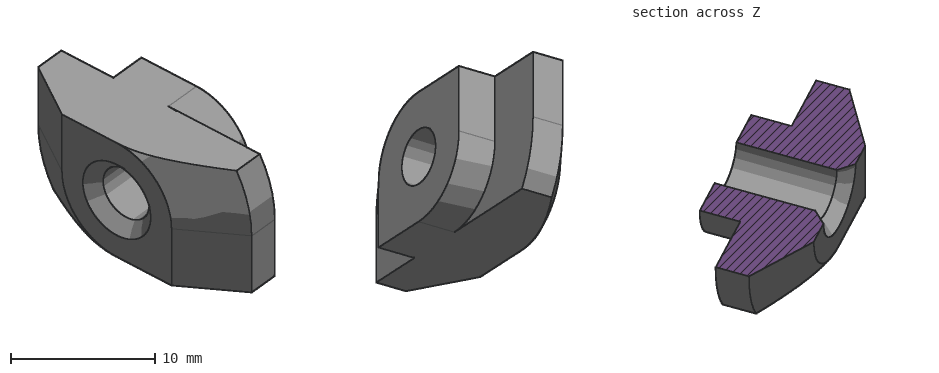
import cadquery as cq

length = 19.5
height = 10.0
bevel_depth = 3.0
flange_thickness = 2.5
stem_depth = 3.0
hole_diameter = 4.2
countersink_diameter = 6.2
countersink_angle = 90

half_length = length / 2
half_height = height / 2
stem_half_width = half_height
flange_back = bevel_depth + flange_thickness
total_depth = flange_back + stem_depth


def half_profile():
    """Half of the T-shaped section, from the hole axis outward."""
    return cq.Workplane("XY").polyline([
        (0, 0),
        (stem_half_width, 0),
        (half_length, bevel_depth),
        (half_length, flange_back),
        (stem_half_width, flange_back),
        (stem_half_width, total_depth),
        (0, total_depth),
    ]).close()


def straight_quadrant():
    """Lower quarter with flat sides and a planar bevel."""
    return half_profile().extrude(-half_height)


def round_quadrant():
    """Upper quarter turned about the hole axis and trimmed to the height."""
    turned = half_profile().revolve(360, (0, 0), (0, 1))
    quarter_block = cq.Workplane("XY").box(
        half_length, total_depth, half_height, centered=False
    )
    return turned.intersect(quarter_block)


right_half = straight_quadrant().union(round_quadrant())
left_half = right_half.rotate((0, 0, 0), (0, 1, 0), 180)
body = right_half.union(left_half).clean()

result = (
    body.faces("<Y")
    .workplane(origin=(0, 0, 0))
    .cskHole(hole_diameter, countersink_diameter, countersink_angle)
)